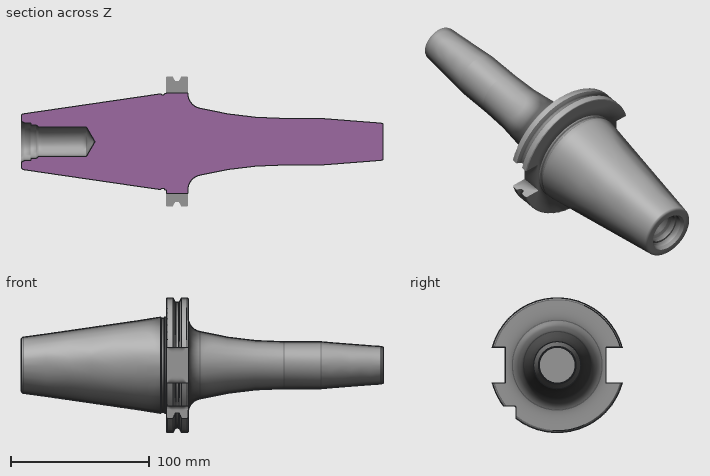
import cadquery as cq
import math

length = 261.5
gauge_x = 101.8
relief_start = 100.7
relief_end = 103.9
relief_bevel = 0.8
flange_start = 105.0
flange_end = 120.9
groove_x = 112.7
neck_start = 129.2
barrel_start = 190.0
barrel_end = 216.5

gauge_diameter = 69.8
gauge_radius = gauge_diameter / 2
taper_slope = 7 / 48
relief_radius = 34.0
flange_radius = 48.7
flange_root_radius = 32.5
neck_radius = 24.3
barrel_radius = 17.0
nose_radius = 13.5

taper_end_fillet = 2.0
flange_front_fillet = 1.3
flange_back_fillet = 0.8
nose_chamfer_length = 1.5
nose_chamfer_depth = 0.65

groove_depth = 3.1
groove_floor_width = 2.5
groove_floor_fillet = 0.8
groove_half_angle = math.radians(30)

slot_width = 25.6
front_slot_floor = 37.7
rear_slot_floor = 35.3
notch_y = 29.8
notch_z = 29.5
notch_fillet = 1.3

bore_mouth_radius = 14.6
bore_radius = 13.3
bore_chamfer_length = 2.5
bore_depth = 7.0
thread_major_radius = 11.8
thread_minor_radius = 10.5
lead_in_start = 11.0
lead_in_end = 12.8
thread_depth = 47.0
drill_half_angle = math.radians(60)


def taper_radius(x):
    return gauge_radius + (x - gauge_x) * taper_slope


def barrel_blend_mid():
    """Point halfway along the neck arc, which meets the barrel tangentially."""
    run = barrel_start - neck_start
    rise = neck_radius - barrel_radius
    arc_radius = (run**2 + rise**2) / (2 * rise)
    half_angle = math.asin(run / arc_radius) / 2
    return (
        barrel_start - arc_radius * math.sin(half_angle),
        barrel_radius + arc_radius * (1 - math.cos(half_angle)),
    )


def revolve_x(profile):
    return profile.close().revolve(360, (0, 0, 0), (1, 0, 0))


def make_taper():
    profile = (
        cq.Workplane("XY")
        .lineTo(0, taper_radius(0))
        .lineTo(relief_start, taper_radius(relief_start))
        .lineTo(relief_start + relief_bevel, relief_radius)
        .lineTo(relief_end - relief_bevel, relief_radius)
        .lineTo(relief_end, gauge_radius)
        .lineTo(flange_start, gauge_radius)
        .lineTo(flange_start, 0)
    )
    return revolve_x(profile).faces("<X").edges().fillet(taper_end_fillet)


def make_flange():
    disc = (
        cq.Workplane("YZ", origin=(flange_start, 0, 0))
        .circle(flange_radius)
        .extrude(flange_end - flange_start)
        .faces("<X")
        .edges()
        .fillet(flange_back_fillet)
        .faces(">X")
        .edges()
        .fillet(flange_front_fillet)
    )
    half_floor = groove_floor_width / 2
    half_mouth = half_floor + groove_depth * math.tan(groove_half_angle)
    floor_radius = flange_radius - groove_depth
    groove = revolve_x(
        cq.Workplane("XY")
        .moveTo(groove_x - half_floor, floor_radius)
        .lineTo(groove_x - half_mouth, flange_radius)
        .lineTo(groove_x + half_mouth, flange_radius)
        .lineTo(groove_x + half_floor, floor_radius)
    )
    floor_edges = cq.selectors.RadiusNthSelector(0)
    return disc.cut(groove.edges(floor_edges).fillet(groove_floor_fillet))


def make_flange_cutter():
    """Two drive slots and the corner notch, all running through the flange."""
    width = flange_end - flange_start

    def box(y_size, z_size):
        return cq.Workplane("XY").box(width, y_size, z_size, centered=False)

    slot_z = -slot_width / 2
    front_slot = box(flange_radius, slot_width).translate(
        (flange_start, -front_slot_floor - flange_radius, slot_z)
    )
    rear_slot = box(flange_radius, slot_width).translate((flange_start, rear_slot_floor, slot_z))
    notch = (
        box(flange_radius, flange_radius)
        .translate((flange_start, -notch_y - flange_radius, -notch_z - flange_radius))
        .edges("|X and >Y and >Z")
        .fillet(notch_fillet)
    )
    return front_slot.union(rear_slot).union(notch)


def make_shank():
    flare_run = neck_start - flange_end
    flare_rise = flange_root_radius - neck_radius
    bow = 0.15
    flare_mid = (
        flange_end + flare_run * (0.5 - bow),
        neck_radius + flare_rise * (0.5 - bow),
    )
    profile = (
        cq.Workplane("XY")
        .moveTo(flange_end, 0)
        .lineTo(flange_end, flange_root_radius)
        .threePointArc(flare_mid, (neck_start, neck_radius))
        .threePointArc(barrel_blend_mid(), (barrel_start, barrel_radius))
        .lineTo(barrel_end, barrel_radius)
        .lineTo(length - nose_chamfer_length, nose_radius)
        .lineTo(length, nose_radius - nose_chamfer_depth)
        .lineTo(length, 0)
    )
    return revolve_x(profile)


def make_bore():
    drill_tip = thread_depth + thread_minor_radius / math.tan(drill_half_angle)
    profile = (
        cq.Workplane("XY")
        .lineTo(0, bore_mouth_radius)
        .lineTo(bore_chamfer_length, bore_radius)
        .lineTo(bore_depth, bore_radius)
        .lineTo(bore_depth, thread_major_radius)
        .lineTo(lead_in_start, thread_major_radius)
        .lineTo(lead_in_end, thread_minor_radius)
        .lineTo(thread_depth, thread_minor_radius)
        .lineTo(drill_tip, 0)
    )
    return revolve_x(profile)


flange = make_flange().cut(make_flange_cutter())
result = make_taper().union(flange).union(make_shank()).cut(make_bore())